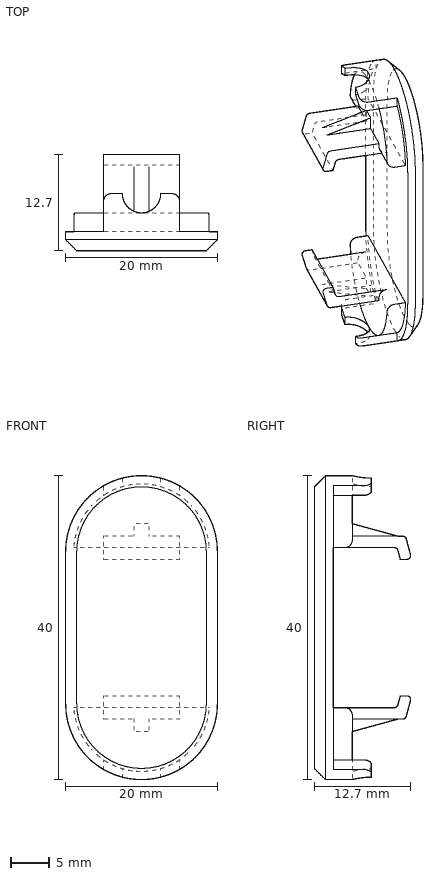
import cadquery as cq
import math

plate_height = 40.0
plate_width = 20.0
plate_depth = 2.5
rim_bevel = 1.5
end_radius = plate_width / 2
arc_center_z = plate_height / 2 - end_radius

block_radius = 8.9
block_bottom_z = 10.5
block_back = 5.0
block_round = 1.0

clip_width = 10.0
tab_back = 7.5
tab_corner_radius = 1.0
scoop_radius = tab_back - block_back

arm_thickness = 1.5
arm_top_z = block_bottom_z + arm_thickness
hook_back = 12.7
hook_bottom_z = 8.95
hook_throat_y = 10.9
hook_lean = math.radians(15)
hook_round = 0.5
rib_width = 2.0
rib_end_y = 11.0
rib_top_z = 13.7


def make_plate():
    plate = (
        cq.Workplane("XZ")
        .slot2D(plate_height, plate_width, 90)
        .extrude(-plate_depth)
    )
    return plate.faces("<Y").chamfer(rim_bevel)


def end_cylinder(radius, back):
    """Cylinder on the upper arc axis, from the back of the plate to the given Y."""
    return (
        cq.Workplane("XZ", origin=(0, plate_depth, arc_center_z))
        .circle(radius)
        .extrude(plate_depth - back)
    )


def make_block():
    keep = (
        cq.Workplane("XY", origin=(0, 0, block_bottom_z))
        .rect(plate_width, 2 * block_back)
        .extrude(end_radius)
    )
    block = end_cylinder(block_radius, block_back).intersect(keep)
    return block.faces(">Y").edges("<Z").fillet(block_round)


def make_tab():
    ring = end_cylinder(end_radius, tab_back).cut(end_cylinder(block_radius, tab_back))
    outline = (
        cq.Workplane("XY", origin=(0, 0, arc_center_z))
        .rect(clip_width, 2 * tab_back)
        .extrude(end_radius)
        .edges("|Z and >Y")
        .fillet(tab_corner_radius)
    )
    scoop = (
        cq.Workplane("XY", origin=(0, tab_back, arc_center_z))
        .circle(scoop_radius)
        .extrude(end_radius)
    )
    return ring.intersect(outline).cut(scoop)


def make_arm():
    heel_angle = math.pi / 2 - hook_lean
    heel_y = hook_back - hook_round + hook_round / math.tan(heel_angle / 2)
    shoulder_y = heel_y - (arm_top_z - hook_bottom_z) * math.tan(hook_lean)
    toe_y = hook_throat_y + (block_bottom_z - hook_bottom_z) * math.tan(hook_lean)
    arm = (
        cq.Workplane("YZ")
        .moveTo(plate_depth, block_bottom_z)
        .lineTo(hook_throat_y, block_bottom_z)
        .lineTo(toe_y, hook_bottom_z)
        .lineTo(heel_y, hook_bottom_z)
        .lineTo(shoulder_y, arm_top_z)
        .lineTo(plate_depth, arm_top_z)
        .close()
        .extrude(clip_width / 2, both=True)
    )
    for y, z in (
        (hook_throat_y, block_bottom_z),
        (heel_y, hook_bottom_z),
        (shoulder_y, arm_top_z),
    ):
        arm = arm.edges(cq.selectors.NearestToPointSelector((0, y, z))).fillet(hook_round)
    return arm


def make_rib():
    return (
        cq.Workplane("YZ")
        .moveTo(block_back, arm_top_z)
        .lineTo(rib_end_y, arm_top_z)
        .lineTo(block_back, rib_top_z)
        .close()
        .extrude(rib_width / 2, both=True)
    )


upper_end = make_block().union(make_tab()).union(make_arm()).union(make_rib())
lower_end = upper_end.mirror("XY")
result = make_plate().union(upper_end).union(lower_end)